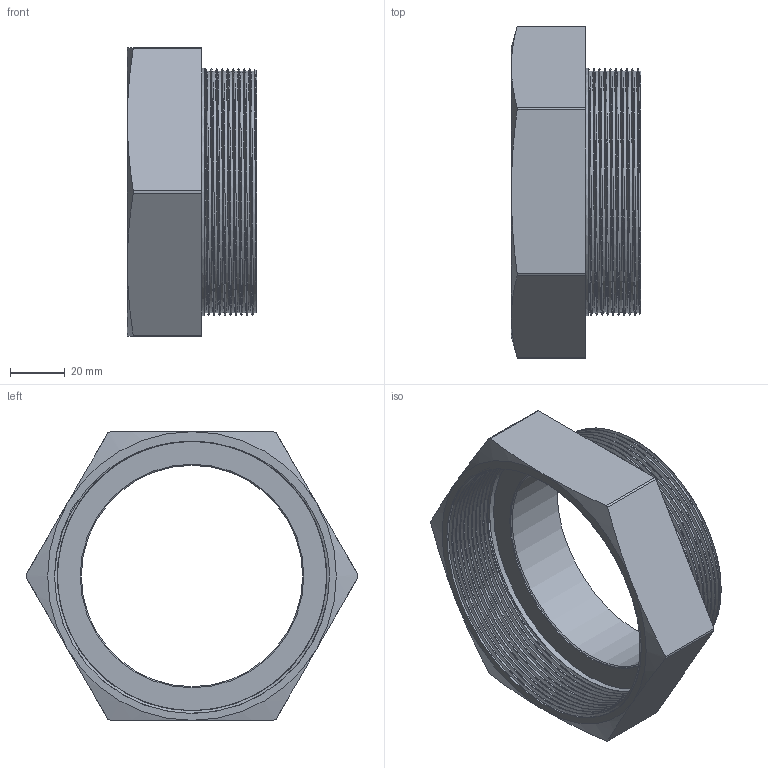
import cadquery as cq
import math

across_flats = 105.0
head_length = 27.0
corner_diameter = 1.15 * across_flats
corner_bevel_angle = 15.0

pitch = 2.0
thread_depth = 1.1
ridge_base = 1.0
ridge_tip = 0.1
ridge_embed = 0.2
trim_margin = 2.0

spigot_length = 20.0
spigot_diameter = 90.0
collar_length = 1.0
spigot_chamfer = 0.9

socket_depth = 23.0
socket_thread_length = 21.0
socket_major_diameter = 100.0
socket_minor_diameter = 98.0
bore_diameter = 80.5
bore_chamfer = 0.4

overall_length = head_length + spigot_length
corner_radius = corner_diameter / 2
spigot_radius = spigot_diameter / 2
spigot_root_radius = spigot_radius - thread_depth
socket_major_radius = socket_major_diameter / 2
socket_minor_radius = socket_minor_diameter / 2


def cylinder(radius, start, end):
    """Cylinder about the X axis between two X positions."""
    return cq.Workplane("YZ").workplane(offset=start).circle(radius).extrude(end - start)


def helical_ridge(root_radius, tip_radius, first_crest, turns):
    """Tapered ridge wound about X; at +Y its first crest lies at x = first_crest."""
    outward = math.copysign(1, tip_radius - root_radius)
    base_radius = root_radius - outward * ridge_embed
    flank_slope = (ridge_base - ridge_tip) / abs(tip_radius - root_radius)
    half_base = ridge_base / 2 + flank_slope * ridge_embed / 2
    half_tip = ridge_tip / 2
    path = cq.Wire.makeHelix(pitch, turns * pitch, root_radius)
    ridge = (
        cq.Workplane("XZ")
        .polyline([
            (base_radius, -half_base),
            (tip_radius, -half_tip),
            (tip_radius, half_tip),
            (base_radius, half_base),
        ])
        .close()
        .sweep(cq.Workplane(obj=path), isFrenet=True)
    )
    ridge = ridge.rotate((0, 0, 0), (1, 1, 1), 120)
    return ridge.translate((first_crest, 0, 0))


def hex_head():
    """Hexagonal prism with trimmed corners, bevelled on the socket end."""
    hexagon = (
        cq.Workplane("YZ")
        .polygon(6, across_flats / math.cos(math.pi / 6))
        .extrude(head_length)
    )
    flat_radius = across_flats / 2
    bevel_length = (corner_radius - flat_radius) * math.tan(math.radians(corner_bevel_angle))
    envelope = (
        cq.Workplane("XY")
        .polyline([
            (0, 0),
            (0, flat_radius),
            (bevel_length, corner_radius),
            (head_length, corner_radius),
            (head_length, 0),
        ])
        .close()
        .revolve(360, (0, 0, 0), (1, 0, 0))
    )
    return hexagon.intersect(envelope)


def threaded_spigot():
    """External thread that runs out at the tip, with a plain collar against the head."""
    collar_end = head_length + collar_length
    core = cylinder(spigot_root_radius, head_length - 2 * pitch, overall_length + 2 * pitch)
    turns = spigot_length / pitch + 1
    ridge = helical_ridge(spigot_root_radius, spigot_radius, head_length - pitch / 2, turns)
    envelope = cylinder(spigot_radius + trim_margin, collar_end, overall_length)
    envelope = envelope.faces(">X").chamfer(spigot_chamfer + trim_margin)
    collar = cylinder(spigot_radius, head_length, collar_end)
    return core.union(ridge).intersect(envelope).union(collar)


def socket_cavity():
    """Threaded length of the socket and its plain end, as the space they occupy."""
    blank = cylinder(socket_major_radius, -2 * pitch, socket_thread_length + 2 * pitch)
    turns = socket_thread_length / pitch + 1
    ridge = helical_ridge(socket_major_radius, socket_minor_radius, -pitch / 4, turns)
    envelope = cylinder(socket_major_radius + trim_margin, 0, socket_thread_length)
    threaded = blank.cut(ridge).intersect(envelope)
    plain_end = cylinder(socket_minor_radius, socket_thread_length, socket_depth)
    return threaded.union(plain_end)


def through_bore():
    """Bore through the spigot, with its edge chamfered at the socket floor."""
    bore = cylinder(bore_diameter / 2, socket_depth, overall_length)
    mouth = cylinder(bore_diameter / 2 + bore_chamfer, socket_depth, socket_depth + 2 * bore_chamfer)
    return bore.union(mouth.faces(">X").chamfer(bore_chamfer))


result = hex_head().cut(socket_cavity()).union(threaded_spigot()).cut(through_bore())